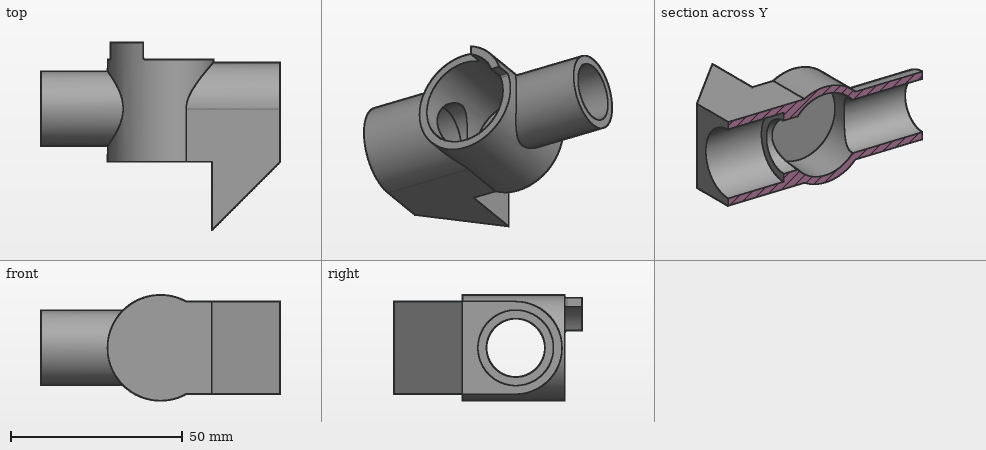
import cadquery as cq
import math

wall = 2.5

body_bore = 26.0
body_diameter = body_bore + 2 * wall
body_length = 30.0
floor_thickness = wall
axis_to_front = 15.6
front_y = -axis_to_front
back_y = front_y + body_length

spigot_bore = 17.0
spigot_diameter = spigot_bore + 2 * wall
spigot_reach = 35.0

socket_bore = 22.1
arm_diameter = socket_bore + 2 * wall
arm_reach = 35.0
socket_depth = 20.0

wedge_size = 20.0

tab_offset = 5.0
tab_length = 5.0
tab_fillet = 0.5


def cylinder_x(diameter, start_x, end_x):
    """Cylinder along the pipe axis."""
    return cq.Workplane("YZ", origin=(start_x, 0, 0)).circle(diameter / 2).extrude(end_x - start_x)


def cylinder_y(diameter, start_y, end_y):
    """Cylinder along the body axis."""
    return cq.Workplane("XZ", origin=(0, start_y, 0)).circle(diameter / 2).extrude(start_y - end_y)


def make_arm():
    """Half-round arm whose square front is flush with the body front."""
    square_front = cq.Workplane("XY").box(
        arm_reach, axis_to_front, arm_diameter, centered=(False, False, True)
    ).translate((0, front_y, 0))
    return cylinder_x(arm_diameter, 0, arm_reach).union(square_front)


def make_wedge():
    """Right-angled wedge with its sloping face toward +X."""
    inner_x = arm_reach - wedge_size
    return (
        cq.Workplane("XY", origin=(0, 0, -arm_diameter / 2))
        .moveTo(inner_x, front_y)
        .lineTo(arm_reach, front_y)
        .lineTo(inner_x, front_y - wedge_size)
        .close()
        .extrude(arm_diameter)
    )


def make_tab_limit(outward):
    """Slab along Y, starting tab_offset from the body axis, with a fillet at its root."""
    radius = body_diameter / 2
    fillet_middle = tab_fillet * (1 - math.sqrt(0.5))
    side_plane = cq.Plane(
        origin=(0, back_y, 0),
        xDir=outward,
        normal=cq.Vector(*outward).cross(cq.Vector(0, 1, 0)),
    )
    return (
        cq.Workplane(side_plane)
        .moveTo(tab_offset - tab_fillet, 0)
        .threePointArc(
            (tab_offset - fillet_middle, fillet_middle),
            (tab_offset, tab_fillet),
        )
        .lineTo(tab_offset, tab_length)
        .lineTo(radius, tab_length)
        .lineTo(radius, 0)
        .close()
        .extrude(radius, both=True)
    )


def make_tab():
    """Solid corner of the extended body toward -X and +Z; the body bore hollows it."""
    return (
        cylinder_y(body_diameter, back_y, back_y + tab_length)
        .intersect(make_tab_limit((-1, 0, 0)))
        .intersect(make_tab_limit((0, 0, 1)))
    )


outside = (
    cylinder_y(body_diameter, front_y, back_y)
    .union(cylinder_x(spigot_diameter, -spigot_reach, 0))
    .union(make_arm())
    .union(make_wedge())
    .union(make_tab())
)

result = (
    outside
    .cut(cylinder_y(body_bore, front_y + floor_thickness, back_y + tab_length))
    .cut(cylinder_x(spigot_bore, -spigot_reach, arm_reach))
    .cut(cylinder_x(socket_bore, arm_reach - socket_depth, arm_reach))
)